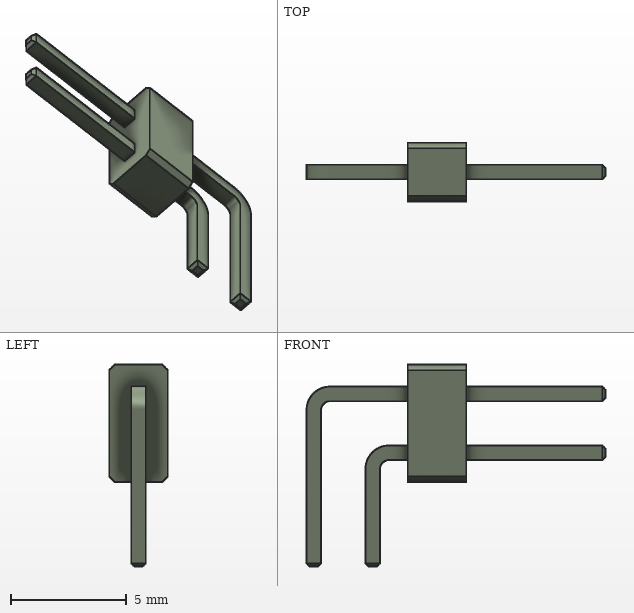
import cadquery as cq


pitch = 2.54
pin_count = 2
pin_width = 0.64
tip_chamfer = 0.15

outer_bend_reach = 1.5 * pin_width
outer_bend_inset = 0.3
inner_bend_reach = pin_width / 2
inner_bend_inset = 0.11

body_length = pitch
body_width = pitch
body_height = pin_count * pitch
body_chamfer = 0.25

leg_to_body = 1.5
contact_length = 6.0
tail_length = 3.64

body_start = (pin_count - 1) * pitch + leg_to_body
contact_end = body_start + body_length + contact_length
tail_end = -tail_length


def make_body():
    """Insulator block with its four long edges (along X) chamfered."""
    block = cq.Workplane("XY").box(body_length, body_width, body_height, centered=(False, True, False))
    return block.edges("|X").chamfer(body_chamfer).translate((body_start, 0, 0))


def make_pin(leg_x, arm_z):
    """Bent square pin: a vertical leg centred on leg_x and a horizontal arm centred on arm_z."""
    half = pin_width / 2
    left = leg_x - half
    right = leg_x + half
    top = arm_z + half
    bottom = arm_z - half
    pin = (
        cq.Workplane("XZ")
        .moveTo(left, tail_end)
        .lineTo(left, top - outer_bend_reach)
        .threePointArc(
            (left + outer_bend_inset, top - outer_bend_inset),
            (left + outer_bend_reach, top),
        )
        .lineTo(contact_end, top)
        .lineTo(contact_end, bottom)
        .lineTo(right + inner_bend_reach, bottom)
        .threePointArc(
            (right + inner_bend_inset, bottom - inner_bend_inset),
            (right, bottom - inner_bend_reach),
        )
        .lineTo(right, tail_end)
        .close()
        .extrude(half, both=True)
    )
    return pin.faces(">X or <Z").edges().chamfer(tip_chamfer)


result = make_body()
for row in range(pin_count):
    leg_x = row * pitch
    arm_z = body_height - pitch / 2 - row * pitch
    result = result.union(make_pin(leg_x, arm_z))